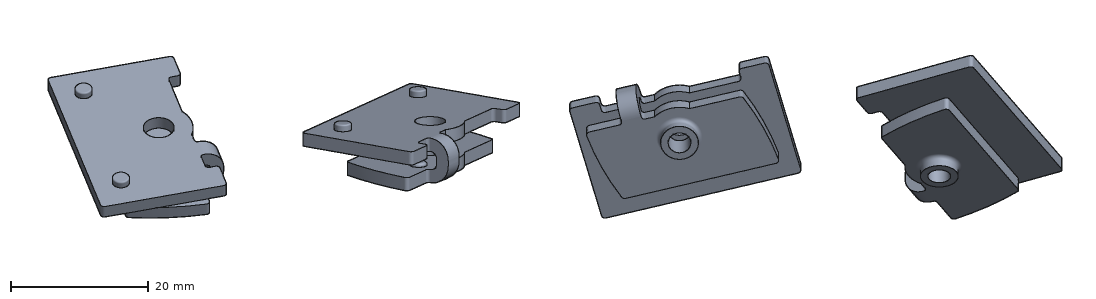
import cadquery as cq

thickness = 2.0
gap = 2.73
corner_radius = 0.55
rear_edge = 4.25
bump_radius = 5.0

upper_length = 30
upper_front = -12.72
upper_rear = 6.25
notch_width = 21
upper_hole_diameter = 4.5
upper_z = thickness + gap

lower_length = 26.05
lower_front = -7.77
end_inset = 2.45
end_radius = 42
lower_hole_diameter = 3.3

boss_diameter = 5.5
boss_height = 1.62
boss_fillet = 0.6

strip_width = 3
strip_x = 6
bend_start = 4.77
inner_bend_radius = 1.0
strip_root_fillet = 0.45

peg_diameter = 2.52
upper_peg_height = 1.0
upper_peg_fillet = 0.25
upper_peg_x = 10.35
upper_peg_y = -8.52
lower_peg_height = 0.5
lower_peg_fillet = 0.42
lower_peg_points = [(-7.25, -5.5), (6.45, 2.0)]


def cylinder(diameter, height, bottom, x=0, y=0):
    return cq.Workplane("XY", origin=(x, y, bottom)).circle(diameter / 2).extrude(height)


def block(x_range, y_range, bottom):
    width = x_range[1] - x_range[0]
    depth = y_range[1] - y_range[0]
    return (
        cq.Workplane("XY", origin=(x_range[0], y_range[0], bottom))
        .box(width, depth, thickness, centered=False)
    )


def peg(x, y, bottom, height, fillet):
    return cylinder(peg_diameter, height, bottom, x, y).faces(">Z").edges().fillet(fillet)


def bump(bottom):
    """Disc around the hole axis that bulges past the rear edge of a plate."""
    return cylinder(2 * bump_radius, thickness, bottom)


def strip_root(bottom):
    """Straight start of the strip, with filleted inside corners where it leaves the plate."""
    left = strip_x - strip_width / 2
    right = strip_x + strip_width / 2
    r = strip_root_fillet
    return (
        cq.Workplane("XY", origin=(0, 0, bottom))
        .moveTo(left - r, rear_edge)
        .radiusArc((left, rear_edge + r), -r)
        .lineTo(left, bend_start)
        .lineTo(right, bend_start)
        .lineTo(right, rear_edge + r)
        .radiusArc((right + r, rear_edge), -r)
        .lineTo(right + r, rear_edge - r)
        .lineTo(left - r, rear_edge - r)
        .close()
        .extrude(thickness)
    )


def make_upper_plate():
    half = upper_length / 2
    plate = block((-half, half), (upper_front, upper_rear), upper_z)
    notch = block((-notch_width / 2, notch_width / 2), (rear_edge, upper_rear), upper_z)
    plate = plate.cut(notch).edges("|Z").fillet(corner_radius)
    plate = plate.union(bump(upper_z)).union(strip_root(upper_z))
    return plate.cut(cylinder(upper_hole_diameter, thickness, upper_z))


def make_lower_plate():
    half = lower_length / 2
    plate = (
        cq.Workplane("XY")
        .moveTo(-half, lower_front)
        .lineTo(half - end_inset, lower_front)
        .radiusArc((half, rear_edge), -end_radius)
        .lineTo(end_inset - half, rear_edge)
        .radiusArc((-half, lower_front), -end_radius)
        .close()
        .extrude(thickness)
        .edges("|Z")
        .fillet(corner_radius)
    )
    return plate.union(bump(0)).union(strip_root(0))


def make_boss():
    """Boss with a concave flare blending it into the lower plate."""
    r = boss_diameter / 2
    return (
        cq.Workplane("XZ")
        .lineTo(r + boss_fillet, 0)
        .radiusArc((r, -boss_fillet), -boss_fillet)
        .lineTo(r, -boss_height)
        .lineTo(0, -boss_height)
        .close()
        .revolve(360, (0, 0), (0, 1))
    )


def make_bend():
    outer = inner_bend_radius + thickness
    lower_centre = thickness + inner_bend_radius
    upper_centre = upper_z - inner_bend_radius
    top = upper_z + thickness
    return (
        cq.Workplane("YZ", origin=(strip_x - strip_width / 2, 0, 0))
        .moveTo(bend_start, 0)
        .radiusArc((bend_start + outer, lower_centre), -outer)
        .lineTo(bend_start + outer, upper_centre)
        .radiusArc((bend_start, top), -outer)
        .lineTo(bend_start, upper_z)
        .radiusArc((bend_start + inner_bend_radius, upper_centre), inner_bend_radius)
        .lineTo(bend_start + inner_bend_radius, lower_centre)
        .radiusArc((bend_start, thickness), inner_bend_radius)
        .close()
        .extrude(strip_width)
    )


lower_hole = cylinder(lower_hole_diameter, boss_height + thickness, -boss_height)
result = make_lower_plate().union(make_boss()).cut(lower_hole)
result = result.union(make_bend()).union(make_upper_plate())

for side in (-1, 1):
    result = result.union(
        peg(side * upper_peg_x, upper_peg_y, upper_z + thickness, upper_peg_height, upper_peg_fillet)
    )
for x, y in lower_peg_points:
    result = result.union(peg(x, y, thickness, lower_peg_height, lower_peg_fillet))